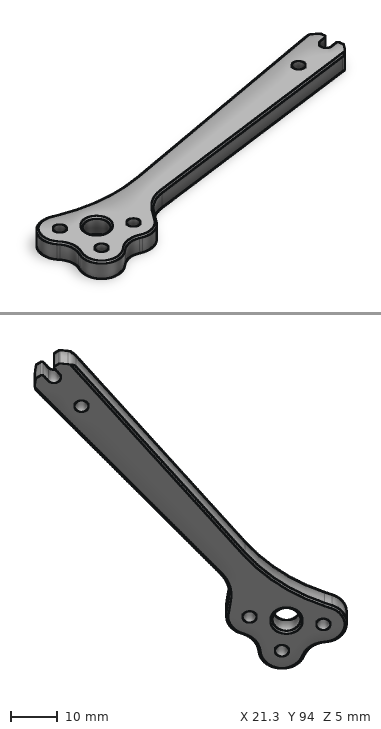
import cadquery as cq
import math

thickness = 5.0
total_length = 94.0
head_width = 21.3
hole_offset = 5.6
lobe_radius = head_width / 2 - hole_offset
hole_diameter = 3.0
bore_diameter = 6.0
edge_chamfer = 0.5

tip_y = total_length - hole_offset - lobe_radius
tip_half_width = 5.4
neck_half_width = 3.8
neck_y = 17.9
tip_bevel = 2.2
tip_radius = 2.5
tip_bevel_radius = 0.2
tip_hole_y = 71.5
tip_overrun = 9.4
slot_depth = 3.7
slot_lip_radius = 0.4

waist_radius = lobe_radius
left_neck_radius = 39.95
right_neck_radius = 8.5
flank_angle = 30.0
shoulder_angle = 46.0

head_holes = [
    (-hole_offset, -hole_offset),
    (hole_offset, -hole_offset),
    (hole_offset, hole_offset),
]
left_lobe, corner_lobe, upper_lobe = head_holes


def lobe_tangent(center, normal_angle):
    """Line touching a lobe, as (normal x, normal y, distance from the origin)."""
    nx = math.cos(math.radians(normal_angle))
    ny = math.sin(math.radians(normal_angle))
    return nx, ny, nx * center[0] + ny * center[1] + lobe_radius


def handle_side(side):
    """Tapered handle edge; side is -1 for left and 1 for right."""
    taper = math.atan2(tip_half_width - neck_half_width, tip_y - neck_y)
    nx = side * math.cos(taper)
    ny = -math.sin(taper)
    return nx, ny, nx * side * neck_half_width + ny * neck_y


def intersection(first, second):
    a, b, c = first
    d, e, f = second
    determinant = a * e - b * d
    return (c * e - b * f) / determinant, (a * f - c * d) / determinant


def rounded_corner(before, corner, after, radius):
    """Start, middle and end of the arc that rounds a corner."""
    to_before = cq.Vector(*before).sub(cq.Vector(*corner)).normalized()
    to_after = cq.Vector(*after).sub(cq.Vector(*corner)).normalized()
    half_angle = to_before.getAngle(to_after) / 2
    setback = radius / math.tan(half_angle)
    bisector = to_before.add(to_after).normalized()
    vertex = cq.Vector(*corner)
    start = vertex.add(to_before.multiply(setback))
    middle = vertex.add(bisector.multiply(radius / math.sin(half_angle) - radius))
    end = vertex.add(to_after.multiply(setback))
    return [(point.x, point.y) for point in (start, middle, end)]


def rounded_outline(sides, radii):
    """Closed outline; each radius rounds the corner between a side and the next one."""
    count = len(sides)
    corners = [intersection(sides[i], sides[(i + 1) % count]) for i in range(count)]
    arcs = [
        rounded_corner(corners[i - 1], corners[i], corners[(i + 1) % count], radii[i])
        for i in range(count)
    ]
    outline = cq.Workplane("XY", origin=(0, 0, -thickness / 2)).moveTo(*arcs[0][0])
    for index, (start, middle, end) in enumerate(arcs):
        if index > 0:
            outline = outline.lineTo(*start)
        outline = outline.threePointArc(middle, end)
    return outline.close()


def bevel_side(side, end_y):
    """45 degree line across one corner of the handle end."""
    diagonal = math.sqrt(0.5)
    corner_distance = diagonal * (tip_half_width + end_y - tip_bevel)
    return side * diagonal, diagonal, corner_distance


def make_plate(end_y):
    """Plate with its handle ending at end_y."""
    sides_and_radii = [
        (lobe_tangent(left_lobe, 180 - flank_angle), lobe_radius),
        (lobe_tangent(left_lobe, 270 + flank_angle), waist_radius),
        (lobe_tangent(corner_lobe, 270 - flank_angle), lobe_radius),
        (lobe_tangent(corner_lobe, flank_angle), waist_radius),
        (lobe_tangent(upper_lobe, -flank_angle), lobe_radius),
        (lobe_tangent(upper_lobe, shoulder_angle), right_neck_radius),
        (handle_side(1), tip_radius),
        (bevel_side(1, end_y), tip_bevel_radius),
        ((0, 1, end_y), tip_bevel_radius),
        (bevel_side(-1, end_y), tip_radius),
        (handle_side(-1), left_neck_radius),
    ]
    sides, radii = zip(*sides_and_radii)
    return rounded_outline(sides, radii).extrude(thickness)


def make_body():
    """Chamfer the rims of an over-long plate, then trim it so that the tip stays sharp."""
    chamfered = make_plate(tip_y + tip_overrun).faces("<Z or >Z").chamfer(edge_chamfer)
    return chamfered.intersect(make_plate(tip_y))


def cut_holes(body):
    small_holes = (
        cq.Workplane("XY")
        .pushPoints(head_holes + [(0, tip_hole_y)])
        .circle(hole_diameter / 2)
        .extrude(thickness, both=True)
    )
    bore = cq.Workplane("XY").circle(bore_diameter / 2).extrude(thickness / 2, both=True)
    mouth_radius = bore_diameter / 2 + edge_chamfer
    for rim_z, inward in ((thickness / 2, -1), (-thickness / 2, 1)):
        countersink = cq.Solid.makeCone(
            mouth_radius,
            bore_diameter / 2,
            edge_chamfer,
            cq.Vector(0, 0, rim_z),
            cq.Vector(0, 0, inward),
        )
        bore = bore.union(cq.Workplane(countersink))
    return body.cut(small_holes).cut(bore)


def cut_tip_slot(body):
    slot_radius = hole_diameter / 2
    slot_end_y = tip_y - slot_depth + slot_radius
    slot = (
        cq.Workplane("XY")
        .moveTo(-slot_radius, tip_y)
        .lineTo(-slot_radius, slot_end_y)
        .threePointArc((0, tip_y - slot_depth), (slot_radius, slot_end_y))
        .lineTo(slot_radius, tip_y)
        .close()
        .extrude(thickness, both=True)
    )
    lip_zone = cq.selectors.BoxSelector(
        (-slot_radius - slot_lip_radius / 2, tip_y - slot_lip_radius, -thickness),
        (slot_radius + slot_lip_radius / 2, tip_y + slot_lip_radius, thickness),
    )
    return body.cut(slot).edges("|Z").edges(lip_zone).fillet(slot_lip_radius)


result = cut_tip_slot(cut_holes(make_body()))